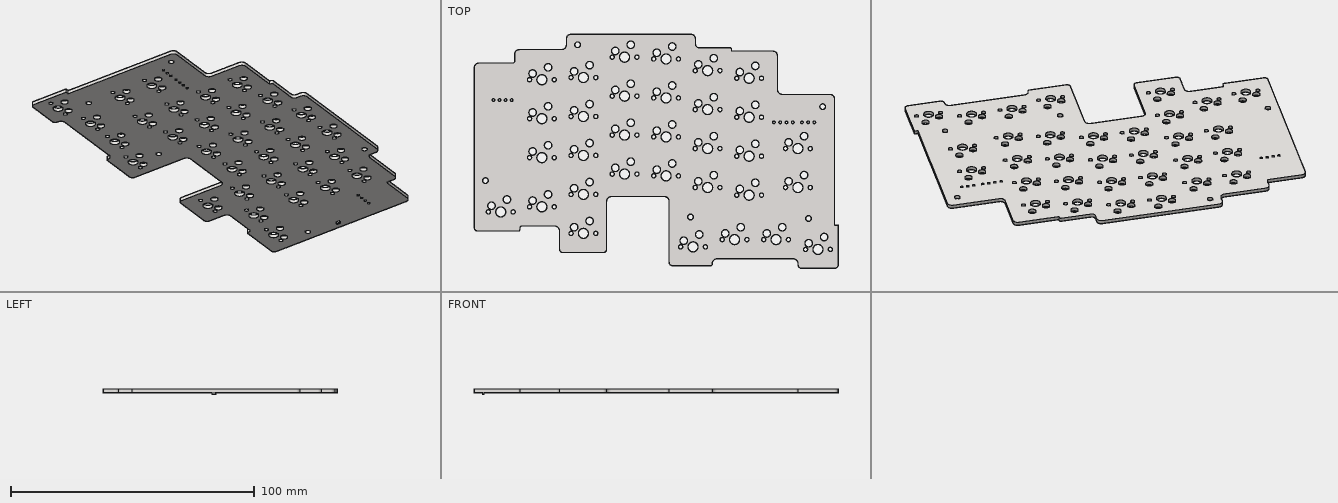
import cadquery as cq
import math

plate_length = 149.8
plate_width = 96.3
overall_height = 2.4
chip_height = 0.8
plate_thickness = overall_height - chip_height

corner = 2.0
tight_corner = 1.5
step_corner = 0.7
sharp = 0.0

right_side = 148.3
left_bottom = 15.3

outline_corners = [
    (0, left_bottom, tight_corner),
    (0, 84.5, corner),
    (16.6, 84.5, step_corner),
    (16.6, 90.0, corner),
    (37.9, 90.0, corner),
    (37.9, plate_width, corner),
    (91.1, plate_width, corner),
    (91.1, 90.8, tight_corner),
    (105.9, 90.8, step_corner),
    (105.9, 89.5, sharp),
    (124.8, 89.5, corner),
    (124.8, 71.6, corner),
    (right_side, 71.6, corner),
    (right_side, 17.8, sharp),
    (plate_length, 17.8, sharp),
    (plate_length, 0, tight_corner),
    (133.2, 0, tight_corner),
    (133.2, 3.9, corner),
    (98.0, 3.9, corner),
    (98.0, 1.0, step_corner),
    (80.1, 1.0, tight_corner),
    (80.1, 29.5, corner),
    (54.5, 29.5, corner),
    (54.5, 6.5, tight_corner),
    (35.0, 6.5, tight_corner),
    (35.0, 17.4, corner),
    (18.9, 17.4, step_corner),
    (18.9, left_bottom, step_corner),
]

grid = 2.5
stem_diameter = 4.0
contact_diameter = 3.0
peg_diameter = 1.6
contact_offsets = [(-1.5 * grid, grid), (grid, 2 * grid)]
peg_offsets = [(-2 * grid, 0), (2 * grid, 0)]

row_pitch = 16.0
key_columns = [
    (11.0, 23.2, 1),
    (27.9, 77.6, 3),
    (45.0, 78.5, 5),
    (61.9, 86.9, 4),
    (79.0, 86.1, 4),
    (96.0, 81.3, 4),
    (113.1, 78.2, 4),
    (133.2, 49.3, 2),
]

single_keys = [(27.9, 25.3), (90.0, 8.8), (107.1, 11.8), (124.2, 11.8), (141.4, 7.8)]

mount_diameter = 2.2
mount_centers = [(42.5, 92.0), (143.4, 66.5), (4.6, 36.1), (89.0, 21.1), (137.5, 20.5)]

header_diameter = 1.0
header_rows = [(8.0, 15.5, 69.2, 4), (123.3, 131.1, 60.0, 4), (134.8, 139.9, 60.0, 3)]

chip_length_x = 0.8
chip_length_y = 1.6
chip_center = (3.7, 50.8)


def toward(start, end, distance):
    """The point at a distance from start on the way to end."""
    share = distance / math.dist(start, end)
    return tuple(a + (b - a) * share for a, b in zip(start, end))


def rounded_outline(corners):
    """A closed wire of straight edges with an arc at each right-angled corner that has a radius."""
    points = [(x, y) for x, y, _ in corners]
    start = toward(points[0], points[1], corners[0][2])
    wire = cq.Workplane("XY").moveTo(*start)
    for i in list(range(1, len(corners))) + [0]:
        point = points[i]
        radius = corners[i][2]
        before = points[i - 1]
        after = points[(i + 1) % len(points)]
        if radius == sharp:
            wire = wire.lineTo(*point)
            continue
        arc_start = toward(point, before, radius)
        arc_end = toward(point, after, radius)
        chord_middle = toward(arc_start, arc_end, radius / math.sqrt(2))
        arc_middle = toward(point, chord_middle, radius * (math.sqrt(2) - 1))
        wire = wire.lineTo(*arc_start).threePointArc(arc_middle, arc_end)
    return wire.close()


def key_centers():
    columns = [(x, top - row * row_pitch) for x, top, count in key_columns for row in range(count)]
    return columns + single_keys


def around_keys(offsets):
    return [(x + dx, y + dy) for x, y in key_centers() for dx, dy in offsets]


def header_centers():
    centers = []
    for first_x, last_x, y, count in header_rows:
        pitch = (last_x - first_x) / (count - 1)
        centers += [(first_x + i * pitch, y) for i in range(count)]
    return centers


def drill(body, centers, diameter):
    """Through holes of one diameter."""
    cutters = cq.Workplane("XY").pushPoints(centers).circle(diameter / 2).extrude(plate_thickness)
    return body.cut(cutters)


def make_plate():
    body = rounded_outline(outline_corners).extrude(plate_thickness)
    body = drill(body, key_centers(), stem_diameter)
    body = drill(body, around_keys(contact_offsets), contact_diameter)
    body = drill(body, around_keys(peg_offsets), peg_diameter)
    body = drill(body, mount_centers, mount_diameter)
    return drill(body, header_centers(), header_diameter)


def make_chip():
    return cq.Workplane("XY").center(*chip_center).rect(chip_length_x, chip_length_y).extrude(-chip_height)


plate = make_plate()
chip = make_chip()

result = cq.Compound.makeCompound([plate.val(), chip.val()])